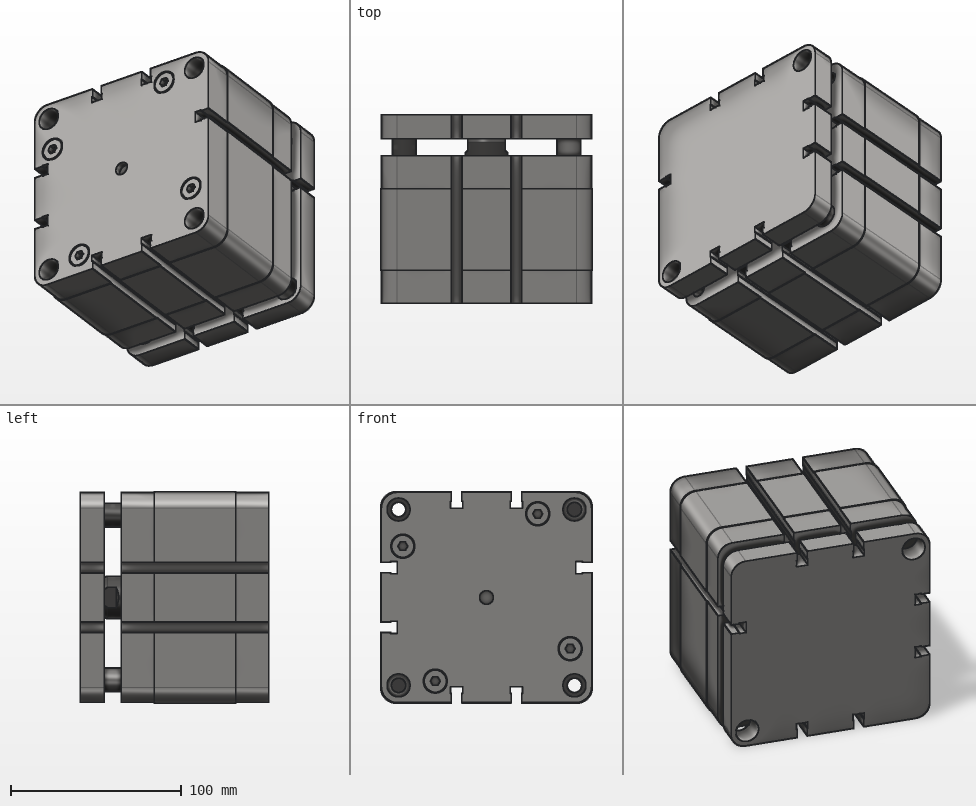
import cadquery as cq
import math


BARREL_SIZE = 124.0
CAP_SIZE = 123.0
CAP_CORNER_RADIUS = 9.0
BARREL_CORNER_RADIUS = CAP_CORNER_RADIUS + (BARREL_SIZE - CAP_SIZE) / 2
CAP_LENGTH = 19.5
BARREL_LENGTH = 47.5
BODY_LENGTH = BARREL_LENGTH + 2 * CAP_LENGTH

GAP = 9.75
PLATE_THICKNESS = 14.25
PLATE_START = BODY_LENGTH + GAP

SLOT_OFFSET = 17.5
SLOT_MOUTH_WIDTH = 6.0
SLOT_FOOT_WIDTH = 7.0
SLOT_MOUTH_DEPTH = 5.8
SLOT_DEPTH = 9.7
SLOT_EDGE_CHAMFER = 0.2

ROD_DIAMETER = 25.0
ROD_ACROSS_FLATS = 22.0
ROD_FLAT_LENGTH = 6.75
ROD_TIP_LENGTH = 1.75
ROD_TIP_REDUCTION = 0.5

GUIDE_DIAMETER = 14.0
GUIDE_OFFSET = 48.2

MOUNT_OFFSET = 51.5
MOUNT_BORE = 13.5
MOUNT_BORE_DEPTH = 15.0
MOUNT_CORE = 8.38
MOUNT_CORE_DEPTH = 30.0
PLATE_HOLE = 14.0

SCREW_LONG_OFFSET = 49.0
SCREW_SHORT_OFFSET = 30.0
SCREW_RECESS = 14.0
SCREW_HEAD = 13.0
SCREW_RECESS_DEPTH = 1.0
HEX_ACROSS_FLATS = 5.0
HEX_DEPTH = 4.0

CENTER_HOLE = 8.0
CENTER_HOLE_DEPTH = 4.0


def plane_at(y):
    """XZ sketch plane at the given y: local x is X, local y is Z, extrusion goes to +Y."""
    return cq.Workplane(cq.Plane(origin=(0, y, 0), xDir=(1, 0, 0), normal=(0, -1, 0)))


def disc(x, z, diameter, start, length):
    return plane_at(start).center(x, z).circle(diameter / 2).extrude(-length)


def rounded_block(size, radius, start, length):
    block = plane_at(start).rect(size, size).extrude(-length)
    return block.edges("|Y").fillet(radius)


def make_body():
    front_cap = slotted_block(CAP_SIZE, CAP_CORNER_RADIUS, 0, CAP_LENGTH)
    barrel = slotted_block(BARREL_SIZE, BARREL_CORNER_RADIUS, CAP_LENGTH, BARREL_LENGTH)
    rear_cap = slotted_block(CAP_SIZE, CAP_CORNER_RADIUS, BODY_LENGTH - CAP_LENGTH, CAP_LENGTH)
    return front_cap.union(barrel).union(rear_cap)


def make_plate():
    plate = slotted_block(CAP_SIZE, CAP_CORNER_RADIUS, PLATE_START, PLATE_THICKNESS)
    for x, z in through_corners():
        plate = plate.cut(disc(x, z, PLATE_HOLE, PLATE_START, PLATE_THICKNESS))
    return plate


def through_corners():
    """Corners without a guide rod; their holes pass through the whole part."""
    return [(-MOUNT_OFFSET, MOUNT_OFFSET), (MOUNT_OFFSET, -MOUNT_OFFSET)]


def blind_corners():
    """Corners in line with the guide rods."""
    return [(-MOUNT_OFFSET, -MOUNT_OFFSET), (MOUNT_OFFSET, MOUNT_OFFSET)]


def make_slot(side, offset, size, start, length):
    """Stepped slot in one side of a square section, with its mouth edges broken."""
    surface = size / 2
    floor = BARREL_SIZE / 2 - SLOT_DEPTH
    foot_top = BARREL_SIZE / 2 - SLOT_MOUTH_DEPTH
    chamfer_start = surface - SLOT_EDGE_CHAMFER
    half_foot = SLOT_FOOT_WIDTH / 2
    half_mouth = SLOT_MOUTH_WIDTH / 2
    half_entry = half_mouth + SLOT_EDGE_CHAMFER
    outline = [
        (offset - half_foot, floor),
        (offset + half_foot, floor),
        (offset + half_foot, foot_top),
        (offset + half_mouth, foot_top),
        (offset + half_mouth, chamfer_start),
        (offset + half_entry, surface),
        (offset - half_entry, surface),
        (offset - half_mouth, chamfer_start),
        (offset - half_mouth, foot_top),
        (offset - half_foot, foot_top),
    ]
    slot = plane_at(start).polyline(outline).close().extrude(-length)
    return slot.rotate((0, 0, 0), (0, 1, 0), 90 * side)


def make_piston_rod():
    radius = ROD_DIAMETER / 2
    rod = disc(0, 0, ROD_DIAMETER, BODY_LENGTH, GAP - ROD_TIP_LENGTH)
    tip = (
        plane_at(PLATE_START - ROD_TIP_LENGTH)
        .circle(radius)
        .workplane(offset=-ROD_TIP_LENGTH)
        .circle(radius - ROD_TIP_REDUCTION)
        .loft()
    )
    rod = rod.union(tip)

    half_flats = ROD_ACROSS_FLATS / 2
    flat_depth = radius - half_flats
    flat_start = PLATE_START - ROD_FLAT_LENGTH
    for side in (-1, 1):
        outline = [
            (side * half_flats, PLATE_START),
            (side * half_flats, flat_start),
            (side * radius, flat_start - flat_depth),
            (side * radius, PLATE_START),
        ]
        flat = cq.Workplane("XY").polyline(outline).close().extrude(radius, both=True)
        rod = rod.cut(flat)
    return rod


def cut_screw(body, x, z):
    """Screw head flush with the front face, inside a slightly larger recess."""
    recess = disc(x, z, SCREW_RECESS, 0, SCREW_RECESS_DEPTH)
    head = disc(x, z, SCREW_HEAD, 0, SCREW_RECESS_DEPTH)
    across_corners = HEX_ACROSS_FLATS / math.cos(math.radians(30))
    socket = plane_at(0).center(x, z).polygon(6, across_corners).extrude(-HEX_DEPTH)
    return body.cut(recess.cut(head)).cut(socket)


def cut_front_holes(body):
    for x, z in through_corners() + blind_corners():
        body = body.cut(disc(x, z, MOUNT_BORE, 0, MOUNT_BORE_DEPTH))
    for x, z in through_corners():
        body = body.cut(disc(x, z, MOUNT_CORE, 0, BODY_LENGTH))
    for x, z in blind_corners():
        body = body.cut(disc(x, z, MOUNT_CORE, 0, MOUNT_CORE_DEPTH))
    for sign in (-1, 1):
        body = cut_screw(body, sign * SCREW_LONG_OFFSET, -sign * SCREW_SHORT_OFFSET)
        body = cut_screw(body, sign * SCREW_SHORT_OFFSET, sign * SCREW_LONG_OFFSET)
    return body.cut(disc(0, 0, CENTER_HOLE, 0, CENTER_HOLE_DEPTH))


def slot_places():
    """Side (quarter turns about Y from the top) and offset along it, for every slot."""
    top, right, bottom, left = range(4)
    places = [(side, sign * SLOT_OFFSET) for side in (top, bottom, left) for sign in (-1, 1)]
    return places + [(right, -SLOT_OFFSET)]


def slotted_block(size, radius, start, length):
    block = rounded_block(size, radius, start, length)
    for side, offset in slot_places():
        block = block.cut(make_slot(side, offset, size, start, length))
    return block


def make_guide_rods():
    lower = disc(-GUIDE_OFFSET, -GUIDE_OFFSET, GUIDE_DIAMETER, BODY_LENGTH, GAP)
    upper = disc(GUIDE_OFFSET, GUIDE_OFFSET, GUIDE_DIAMETER, BODY_LENGTH, GAP)
    return lower.union(upper)


body = cut_front_holes(make_body())
result = body.union(make_plate()).union(make_piston_rod()).union(make_guide_rods())